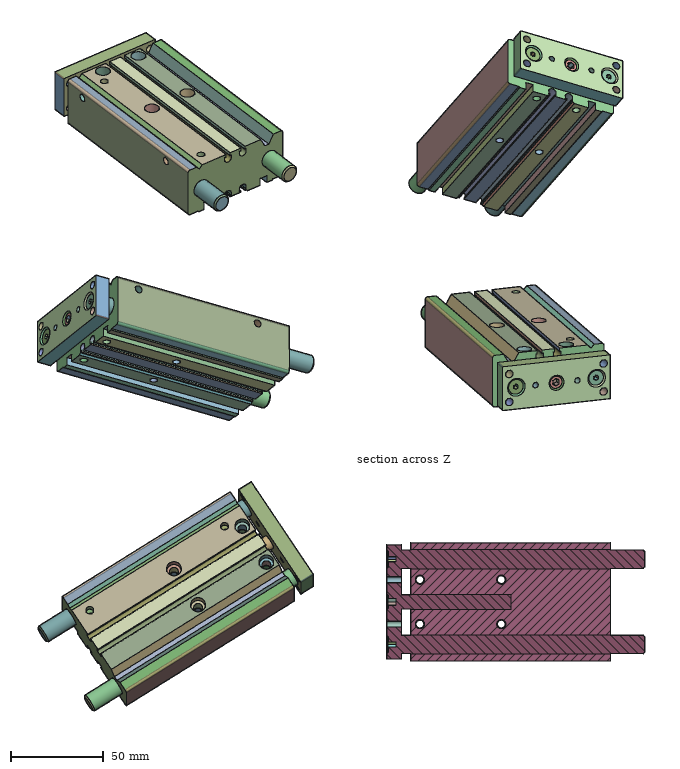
import cadquery as cq
import math

LENGTH = 139.5
HOUSING_WIDTH = 64.0
HOUSING_HEIGHT = 30.0
HOUSING_START = 13.0
HOUSING_LENGTH = 108.0
HOUSING_END = HOUSING_START + HOUSING_LENGTH
TOP = HOUSING_HEIGHT / 2
SIDE = HOUSING_WIDTH / 2
CORNER_RADIUS = 1.4

FOOT_OUTER_Y = 24.8
FOOT_INNER_Y = 8.2
SIDE_RAISE = 0.5
CENTRE_RAISE = 1.0

SENSOR_SLOT_Y = 5.0
SENSOR_NECK_WIDTH = 2.8
SENSOR_CHANNEL_WIDTH = 4.5
SENSOR_LEDGE_Z = 13.1
SENSOR_CHANNEL_DEPTH = 3.6

FOOT_SLOT_Y = 19.0
FOOT_SLOT_WIDTH = 4.5
FOOT_SLOT_DEPTH = 4.5

TRAPEZOID_Y = 21.3
TRAPEZOID_TOP_WIDTH = 8.6
TRAPEZOID_BOTTOM_WIDTH = 2.5
TRAPEZOID_DEPTH = 5.3

VEE_Y = -24.4
VEE_WIDTH = 3.9
VEE_DEPTH = VEE_WIDTH / 2

MOUNT_X = (18.0, 62.0)
MOUNT_Y = 12.0
COUNTERBORE_DIAMETER = 8.0
COUNTERBORE_DEPTH = 6.0
MOUNT_UPPER_DIAMETER = 4.7
MOUNT_LOWER_DIAMETER = 4.2

PORT_DIAMETER = 4.2
PORT_DEPTH = 5.6
ORIFICE_DIAMETER = 1.5
ORIFICE_DEPTH = 4.2
ORIFICE_OFFSET = 1.0
TOP_PORT_X = (26.1, 112.7)
TOP_PORT_Y = -17.2
SIDE_PORT_X = (26.1, 101.0)
SIDE_PORT_Z = 10.3

PLATE_THICKNESS = 8.1
PLATE_WIDTH = 62.0
PLATE_HEIGHT = 25.0
PLATE_EDGE_RADIUS = 0.4
GUIDE_ROD_Y = 23.0
GUIDE_ROD_DIAMETER = 10.0
PISTON_ROD_DIAMETER = 8.0
PISTON_ROD_END = 67.0
ROD_CHAMFER = 0.8
GUIDE_RECESS_DIAMETER = 10.0
PISTON_RECESS_DIAMETER = 8.5
RECESS_DEPTH = 0.8
GUIDE_SOCKET_SIZE = 2.5
PISTON_SOCKET_SIZE = 3.6
SOCKET_DEPTH = 4.2
CORNER_HOLE_Y = 27.0
CORNER_HOLE_Z = 8.0
CORNER_HOLE_DIAMETER = 4.2
PLATE_PIN_HOLE_Y = 12.0
PLATE_PIN_HOLE_DIAMETER = 3.0


def x_cylinder(diameter, y, z, start, end):
    """Cylinder along X from start to end."""
    return cq.Workplane("YZ", origin=(start, y, z)).circle(diameter / 2).extrude(end - start)


def drill(diameter, depth, entry, direction):
    """Cylinder to cut, starting at the entry point."""
    return cq.Workplane(cq.Solid.makeCylinder(diameter / 2, depth, cq.Vector(*entry), cq.Vector(*direction)))


def along_housing(outline):
    """Extrude a closed (y, z) outline over the housing length."""
    return cq.Workplane("YZ", origin=(HOUSING_START, 0, 0)).polyline(outline).close().extrude(HOUSING_LENGTH)


def housing_blank():
    side_bottom = -TOP + SIDE_RAISE
    centre_bottom = -TOP + CENTRE_RAISE
    right_half = [
        (FOOT_INNER_Y - CENTRE_RAISE, centre_bottom),
        (FOOT_INNER_Y, -TOP),
        (FOOT_OUTER_Y, -TOP),
        (FOOT_OUTER_Y + SIDE_RAISE, side_bottom),
        (SIDE, side_bottom),
        (SIDE, TOP),
    ]
    left_half = [(-y, z) for y, z in reversed(right_half)]
    blank = along_housing(right_half + left_half)
    return blank.edges("|X and (<Y or >Y)").fillet(CORNER_RADIUS)


def sensor_slot(y, facing):
    """Undercut slot with a round bottom; facing is 1 for the top face and -1 for the underside."""
    neck_half = SENSOR_NECK_WIDTH / 2
    channel_half = SENSOR_CHANNEL_WIDTH / 2
    mouth = facing * TOP
    ledge = facing * SENSOR_LEDGE_Z
    bottom = facing * (SENSOR_LEDGE_Z - SENSOR_CHANNEL_DEPTH)
    round_start = bottom + facing * channel_half
    return (
        cq.Workplane("YZ", origin=(HOUSING_START, 0, 0))
        .moveTo(y - neck_half, mouth)
        .lineTo(y - neck_half, ledge)
        .lineTo(y - channel_half, ledge)
        .lineTo(y - channel_half, round_start)
        .threePointArc((y, bottom), (y + channel_half, round_start))
        .lineTo(y + channel_half, ledge)
        .lineTo(y + neck_half, ledge)
        .lineTo(y + neck_half, mouth)
        .close()
        .extrude(HOUSING_LENGTH)
    )


def foot_slot(y):
    """Plain slot in the underside."""
    half = FOOT_SLOT_WIDTH / 2
    roof = -TOP + FOOT_SLOT_DEPTH
    return along_housing([(y - half, -TOP), (y + half, -TOP), (y + half, roof), (y - half, roof)])


def trapezoid_groove():
    top_half = TRAPEZOID_TOP_WIDTH / 2
    bottom_half = TRAPEZOID_BOTTOM_WIDTH / 2
    floor = TOP - TRAPEZOID_DEPTH
    return along_housing([
        (TRAPEZOID_Y - top_half, TOP),
        (TRAPEZOID_Y + top_half, TOP),
        (TRAPEZOID_Y + bottom_half, floor),
        (TRAPEZOID_Y - bottom_half, floor),
    ])


def vee_groove():
    half = VEE_WIDTH / 2
    return along_housing([(VEE_Y - half, TOP), (VEE_Y + half, TOP), (VEE_Y, TOP - VEE_DEPTH)])


def mounting_hole(x, y):
    """Counterbored hole from the top, narrower below mid-height."""
    down = (0, 0, -1)
    counterbore = drill(COUNTERBORE_DIAMETER, COUNTERBORE_DEPTH, (x, y, TOP), down)
    upper = drill(MOUNT_UPPER_DIAMETER, TOP, (x, y, TOP), down)
    lower = drill(MOUNT_LOWER_DIAMETER, HOUSING_HEIGHT, (x, y, TOP), down)
    return counterbore.union(upper).union(lower)


def top_port(x):
    down = (0, 0, -1)
    orifice_entry = (x, TOP_PORT_Y + ORIFICE_OFFSET, TOP)
    port = drill(PORT_DIAMETER, PORT_DEPTH, (x, TOP_PORT_Y, TOP), down)
    return port.union(drill(ORIFICE_DIAMETER, PORT_DEPTH + ORIFICE_DEPTH, orifice_entry, down))


def side_port(x):
    inward = (0, 1, 0)
    orifice_entry = (x, -SIDE, SIDE_PORT_Z - ORIFICE_OFFSET)
    port = drill(PORT_DIAMETER, PORT_DEPTH, (x, -SIDE, SIDE_PORT_Z), inward)
    return port.union(drill(ORIFICE_DIAMETER, PORT_DEPTH + ORIFICE_DEPTH, orifice_entry, inward))


def make_housing():
    housing = housing_blank().cut(trapezoid_groove()).cut(vee_groove())
    for side in (-1, 1):
        housing = housing.cut(sensor_slot(side * SENSOR_SLOT_Y, 1))
        housing = housing.cut(sensor_slot(side * SENSOR_SLOT_Y, -1))
        housing = housing.cut(foot_slot(side * FOOT_SLOT_Y))
        for x in MOUNT_X:
            housing = housing.cut(mounting_hole(x, side * MOUNT_Y))
        guide_bore = x_cylinder(GUIDE_ROD_DIAMETER, side * GUIDE_ROD_Y, 0, HOUSING_START, HOUSING_END)
        housing = housing.cut(guide_bore)
    for x in TOP_PORT_X:
        housing = housing.cut(top_port(x))
    for x in SIDE_PORT_X:
        housing = housing.cut(side_port(x))
    return housing.cut(x_cylinder(PISTON_ROD_DIAMETER, 0, 0, HOUSING_START, PISTON_ROD_END))


def plate():
    blank = (
        cq.Workplane("YZ")
        .rect(PLATE_WIDTH, PLATE_HEIGHT)
        .extrude(PLATE_THICKNESS)
        .edges("|X")
        .fillet(PLATE_EDGE_RADIUS)
    )
    for side in (-1, 1):
        blank = blank.cut(x_cylinder(PLATE_PIN_HOLE_DIAMETER, side * PLATE_PIN_HOLE_Y, 0, 0, PLATE_THICKNESS))
        for z in (-CORNER_HOLE_Z, CORNER_HOLE_Z):
            corner_hole = x_cylinder(CORNER_HOLE_DIAMETER, side * CORNER_HOLE_Y, z, 0, PLATE_THICKNESS)
            blank = blank.cut(corner_hole)
    return blank


def rod_end(y, recess_diameter, socket_size):
    """Tapered recess in the plate face with a hexagon socket in its floor, corners up and down."""
    radius = recess_diameter / 2
    recess = cq.Solid.makeCone(
        radius, radius - RECESS_DEPTH, RECESS_DEPTH, cq.Vector(0, y, 0), cq.Vector(1, 0, 0)
    )
    corner_diameter = socket_size / math.cos(math.pi / 6)
    socket = (
        cq.Workplane("YZ", origin=(0, y, 0))
        .transformed(rotate=(0, 0, 90))
        .polygon(6, corner_diameter)
        .extrude(RECESS_DEPTH + SOCKET_DEPTH)
    )
    return socket.union(cq.Workplane(recess))


def make_carriage():
    carriage = plate().union(x_cylinder(PISTON_ROD_DIAMETER, 0, 0, PLATE_THICKNESS, PISTON_ROD_END))
    for side in (-1, 1):
        y = side * GUIDE_ROD_Y
        rod = x_cylinder(GUIDE_ROD_DIAMETER, y, 0, PLATE_THICKNESS, LENGTH)
        carriage = carriage.union(rod.faces(">X").chamfer(ROD_CHAMFER))
        carriage = carriage.cut(rod_end(y, GUIDE_RECESS_DIAMETER, GUIDE_SOCKET_SIZE))
    return carriage.cut(rod_end(0, PISTON_RECESS_DIAMETER, PISTON_SOCKET_SIZE))


housing = make_housing()
carriage = make_carriage()

result = cq.Compound.makeCompound([housing.solids().val(), carriage.solids().val()])